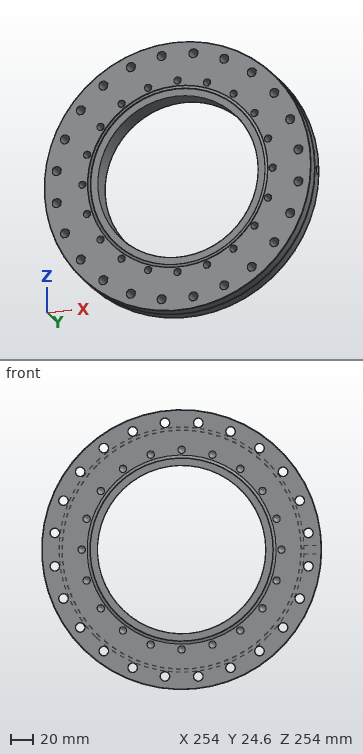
import cadquery as cq
import math

outer_diameter = 254.0
thickness = 24.6
bore_diameter = 152.5
edge_chamfer = 0.5

front_recess_diameter = 171.5
back_recess_diameter = 222.2
recess_depth = 1.5
floor_depth = 1.3
knife_inset = 2.5
knife_tip_depth = 0.5
knife_inner_run = 0.38

groove_width = 1.0
groove_depth = 0.5

bolt_count = 24
bolt_circle_diameter = 232.0
bolt_hole_diameter = 8.5

blind_count = 20
blind_circle_diameter = 181.0
blind_hole_diameter = 6.5
blind_hole_depth = 14.0
drill_point_angle = 118.0

port_diameter = 7.5
port_y = 7.5
port_inner_radius = back_recess_diameter / 2 - knife_inset

front = -thickness / 2
back = thickness / 2

def knife_edge_recess(diameter):
    """Half section of a gasket recess as (radius, depth below the face), rim first."""
    rim = diameter / 2
    tip = rim - knife_inset
    return [
        (rim, 0),
        (rim, recess_depth),
        (tip, knife_tip_depth),
        (tip - knife_inner_run, floor_depth),
        (bore_diameter / 2, floor_depth),
    ]

def ring_body():
    """Revolve the half section, given as (radius, y) points."""
    outer = outer_diameter / 2
    front_recess = [(r, front + depth) for r, depth in knife_edge_recess(front_recess_diameter)]
    back_recess = [(r, back - depth) for r, depth in reversed(knife_edge_recess(back_recess_diameter))]
    rim = [
        (outer - edge_chamfer, back),
        (outer, back - edge_chamfer),
        (outer, groove_width / 2),
        (outer - groove_depth, 0),
        (outer, -groove_width / 2),
        (outer, front + edge_chamfer),
        (outer - edge_chamfer, front),
    ]
    section = back_recess + rim + front_recess
    return cq.Workplane("XY").polyline(section).close().revolve(360, (0, 0, 0), (0, 1, 0))

def drill(diameter, depth):
    """Round cutter with a conical tip, entering the front face along +Y."""
    radius = diameter / 2
    tip_length = radius / math.tan(math.radians(drill_point_angle / 2))
    profile = [
        (0, front),
        (radius, front),
        (radius, front + depth),
        (0, front + depth + tip_length),
    ]
    return cq.Workplane("XY").polyline(profile).close().revolve(360, (0, 0, 0), (0, 1, 0))

def on_circle(cutter, count, circle_diameter, start_angle):
    """Equally spaced copies of the cutter on a circle about the Y axis."""
    copies = []
    for index in range(count):
        angle = math.radians(start_angle + index * 360 / count)
        x = circle_diameter / 2 * math.cos(angle)
        z = circle_diameter / 2 * math.sin(angle)
        copies.append(cutter.translate((x, 0, z)).val())
    return copies

def leak_port():
    """Radial round cutter along +X, ending at the rim."""
    length = outer_diameter / 2 - port_inner_radius
    start = cq.Workplane("YZ", origin=(port_inner_radius, port_y, 0))
    return start.circle(port_diameter / 2).extrude(length)

half_bolt_step = 180 / bolt_count
bolt_cutter = drill(bolt_hole_diameter, thickness)
blind_cutter = drill(blind_hole_diameter, blind_hole_depth)
bolt_holes = on_circle(bolt_cutter, bolt_count, bolt_circle_diameter, half_bolt_step)
blind_holes = on_circle(blind_cutter, blind_count, blind_circle_diameter, 0)

holes = cq.Compound.makeCompound(bolt_holes + blind_holes)

result = ring_body().cut(cq.Workplane(holes)).cut(leak_port())